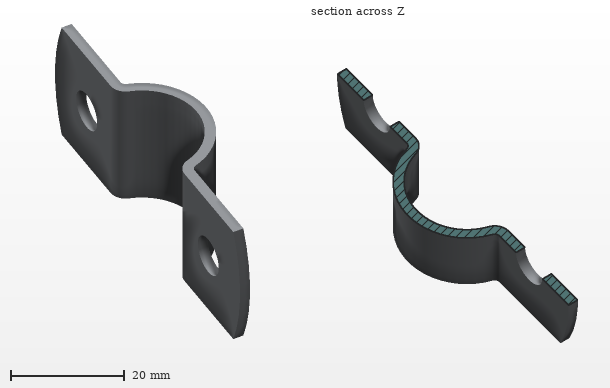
import cadquery as cq
import math

length = 67.0
height = 25.0
depth = 11.9
thickness = 2.0
saddle_radius = 13.0
bend_radius = 1.0
hole_diameter = 7.6
hole_spacing = 44.0
end_radius = length / 2

saddle_y = depth - saddle_radius
bend_y = thickness + bend_radius
bend_x = math.sqrt((saddle_radius + bend_radius) ** 2 - (bend_y - saddle_y) ** 2)
contact_angle = math.atan2(bend_y - saddle_y, bend_x)
bend_mid_angle = (contact_angle + math.pi + 1.5 * math.pi) / 2


def saddle_point(radius):
    """Right-hand end of a saddle arc, where it meets the bend."""
    return (
        radius * math.cos(contact_angle),
        saddle_y + radius * math.sin(contact_angle),
    )


def bend_middle(radius):
    """Middle of a right-hand bend arc."""
    return (
        bend_x + radius * math.cos(bend_mid_angle),
        bend_y + radius * math.sin(bend_mid_angle),
    )


def mirrored(point):
    return (-point[0], point[1])


def make_strap():
    """Bent sheet: two flat feet joined by a round saddle."""
    half_length = length / 2
    inner_radius = saddle_radius - thickness
    outer_bend = bend_radius + thickness
    outer_end = saddle_point(saddle_radius)
    inner_end = saddle_point(inner_radius)
    top_bend = bend_middle(bend_radius)
    bottom_bend = bend_middle(outer_bend)
    profile = (
        cq.Workplane("XY", origin=(0, 0, -height / 2))
        .moveTo(-half_length, 0)
        .lineTo(-half_length, thickness)
        .lineTo(-bend_x, thickness)
        .threePointArc(mirrored(top_bend), mirrored(outer_end))
        .threePointArc((0, depth), outer_end)
        .threePointArc(top_bend, (bend_x, thickness))
        .lineTo(half_length, thickness)
        .lineTo(half_length, 0)
        .lineTo(bend_x, 0)
        .threePointArc(bottom_bend, inner_end)
        .threePointArc((0, depth - thickness), mirrored(inner_end))
        .threePointArc(mirrored(bottom_bend), (-bend_x, 0))
        .close()
    )
    return profile.extrude(height)


def round_ends(strap):
    """Trim both ends to a circle centred on the strap."""
    disc = cq.Workplane("XZ").circle(end_radius).extrude(-depth)
    return strap.intersect(disc)


def cut_holes(strap):
    """Cut one screw hole through each foot."""
    holes = (
        cq.Workplane("XZ")
        .pushPoints([(-hole_spacing / 2, 0), (hole_spacing / 2, 0)])
        .circle(hole_diameter / 2)
        .extrude(-thickness)
    )
    return strap.cut(holes)


result = cut_holes(round_ends(make_strap()))